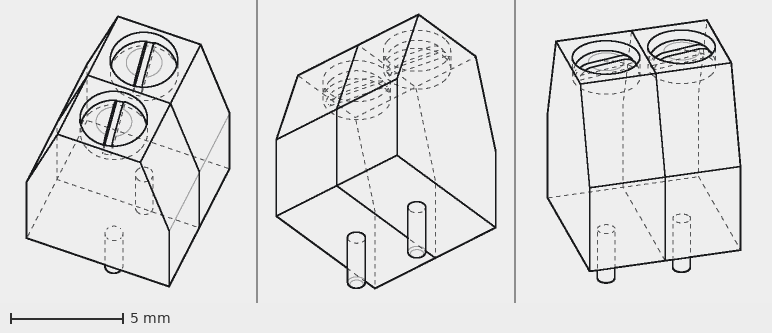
import cadquery as cq
import math

POLE_COUNT = 2
POLE_PITCH = 3.5

HOUSING_WIDTH = 6.9
HOUSING_HEIGHT = 8.8
SHOULDER_HEIGHT = 4.3
TOP_SETBACK_LEFT = 1.5
TOP_WIDTH = 4.0

AXIS_X = 3.49
AXIS_Y = POLE_PITCH / 2

HEAD_RADIUS = 1.5
HEAD_CROWN_RADIUS = 0.8
HEAD_ROUNDING = HEAD_RADIUS - HEAD_CROWN_RADIUS
HEAD_SINK = 0.2
SLOT_WIDTH = 0.38
SLOT_DEPTH = 0.5
SLOT_ANGLE = 10

HEAD_SIDE_HEIGHT = 0.1
HEAD_HEIGHT = HEAD_SIDE_HEIGHT + HEAD_ROUNDING
RECESS_DEPTH = HEAD_SINK + HEAD_HEIGHT

PIN_RADIUS = 0.4
OVERALL_HEIGHT = 11.4
PIN_LENGTH = OVERALL_HEIGHT - HOUSING_HEIGHT
PIN_ROUNDING = 0.1


def make_housing():
    """Prism with a tapered upper half and a round screw recess in its top."""
    top_right = TOP_SETBACK_LEFT + TOP_WIDTH
    body = (
        cq.Workplane("XZ")
        .moveTo(0, 0)
        .lineTo(HOUSING_WIDTH, 0)
        .lineTo(HOUSING_WIDTH, SHOULDER_HEIGHT)
        .lineTo(top_right, HOUSING_HEIGHT)
        .lineTo(TOP_SETBACK_LEFT, HOUSING_HEIGHT)
        .lineTo(0, SHOULDER_HEIGHT)
        .close()
        .extrude(-POLE_PITCH)
    )
    recess = (
        cq.Workplane("XY", origin=(AXIS_X, AXIS_Y, HOUSING_HEIGHT - RECESS_DEPTH))
        .circle(HEAD_RADIUS)
        .extrude(RECESS_DEPTH)
    )
    return body.cut(recess)


def make_screw():
    """Flat-crowned head with a quarter-round rim and a slot across it."""
    rim_inset = HEAD_ROUNDING * (1 - math.sqrt(0.5))
    rim_middle = (HEAD_RADIUS - rim_inset, HEAD_HEIGHT - rim_inset)
    head = (
        cq.Workplane("XZ")
        .moveTo(0, 0)
        .lineTo(HEAD_RADIUS, 0)
        .lineTo(HEAD_RADIUS, HEAD_SIDE_HEIGHT)
        .threePointArc(rim_middle, (HEAD_CROWN_RADIUS, HEAD_HEIGHT))
        .lineTo(0, HEAD_HEIGHT)
        .close()
        .revolve(360, (0, 0, 0), (0, 1, 0))
    )
    slot = (
        cq.Workplane("XY", origin=(0, 0, HEAD_HEIGHT - SLOT_DEPTH))
        .rect(SLOT_WIDTH, 2 * HEAD_RADIUS)
        .extrude(SLOT_DEPTH)
        .rotate((0, 0, 0), (0, 0, 1), SLOT_ANGLE)
    )
    return head.cut(slot).translate((AXIS_X, AXIS_Y, HOUSING_HEIGHT - RECESS_DEPTH))


def make_pin():
    """Round pin hanging from the underside, rounded at its free end."""
    return (
        cq.Workplane("XY", origin=(AXIS_X, AXIS_Y, -PIN_LENGTH))
        .circle(PIN_RADIUS)
        .extrude(PIN_LENGTH)
        .faces("<Z")
        .edges()
        .fillet(PIN_ROUNDING)
    )


housings = []
screws = []
pins = []
for pole in range(POLE_COUNT):
    offset = (0, pole * POLE_PITCH, 0)
    housings.append(make_housing().translate(offset).val())
    screws.append(make_screw().translate(offset).val())
    pins.append(make_pin().translate(offset).val())

result = cq.Compound.makeCompound([*housings, *screws, *pins])